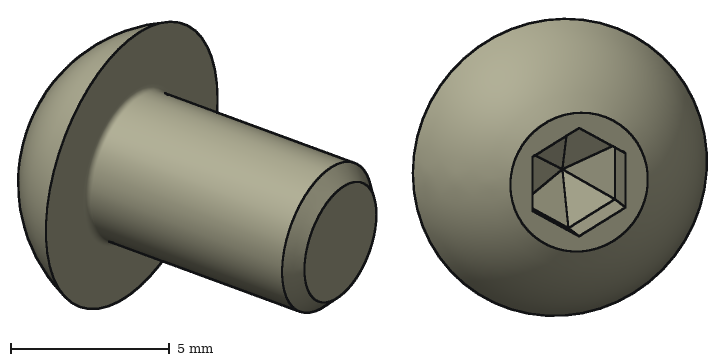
import cadquery as cq
import math

total_length = 10.75
head_diameter = 9.5
head_height = 2.75
face_diameter = 4.44
shank_diameter = 5.0
tip_chamfer = 0.5
neck_length = 0.19
neck_flare = 0.19
socket_width = 3.0
socket_depth = 1.53
socket_point_depth = 0.87

head_radius = head_diameter / 2
face_radius = face_diameter / 2
shank_radius = shank_diameter / 2
neck_radius = shank_radius + neck_flare

dome_center = (head_height**2 + head_radius**2 - face_radius**2) / (2 * head_height)
dome_radius = math.hypot(dome_center, face_radius)
dome_mid_x = head_height / 2
dome_mid_radius = math.sqrt(dome_radius**2 - (dome_center - dome_mid_x) ** 2)

neck_end = head_height + neck_length
neck_mid_x = neck_end - neck_length * math.sqrt(0.5)
neck_mid_radius = neck_radius - neck_flare * math.sqrt(0.5)

body = (
    cq.Workplane("XY")
    .lineTo(0, face_radius)
    .threePointArc((dome_mid_x, dome_mid_radius), (head_height, head_radius))
    .lineTo(head_height, neck_radius)
    .threePointArc((neck_mid_x, neck_mid_radius), (neck_end, shank_radius))
    .lineTo(total_length - tip_chamfer, shank_radius)
    .lineTo(total_length, shank_radius - tip_chamfer)
    .lineTo(total_length, 0)
    .close()
    .revolve(360, (0, 0, 0), (1, 0, 0))
)

socket_sides = 6
socket_corner_radius = socket_width / math.sqrt(3)
corner_angles = [2 * math.pi * i / socket_sides for i in range(socket_sides)]
hexagon = [
    (socket_corner_radius * math.sin(angle), socket_corner_radius * math.cos(angle))
    for angle in corner_angles
]
socket = cq.Workplane("YZ").polyline(hexagon).close().extrude(socket_depth)


def flat_face(points):
    return cq.Face.makeFromWires(cq.Wire.makePolygon(points, close=True))


def pyramid(corners, apex):
    """Solid with a flat base and one triangular facet per base edge."""
    facets = [flat_face([corners[i - 1], corners[i], apex]) for i in range(len(corners))]
    return cq.Solid.makeSolid(cq.Shell.makeShell([flat_face(corners)] + facets))


bottom_corners = [cq.Vector(socket_depth, y, z) for y, z in hexagon]
bottom_apex = cq.Vector(socket_depth + socket_point_depth, 0, 0)
socket_bottom = pyramid(bottom_corners, bottom_apex)

result = body.cut(socket.union(cq.Workplane(socket_bottom)))